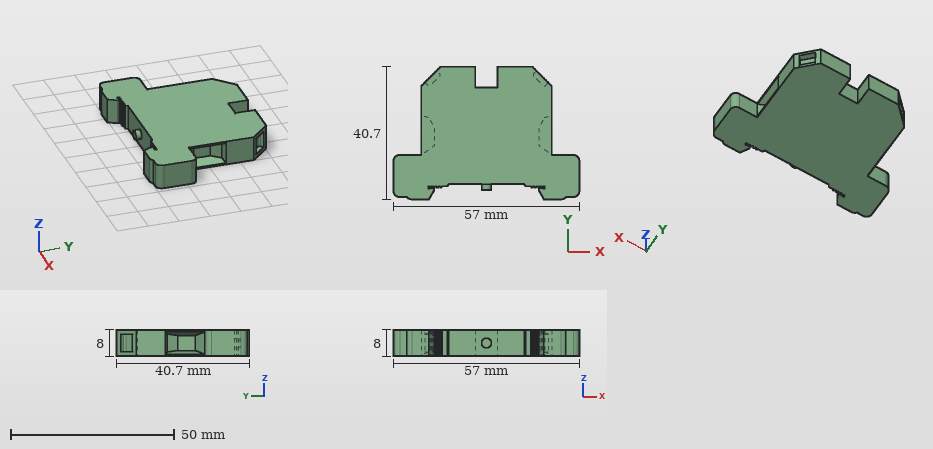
import math

import cadquery as cq

THICKNESS = 8.0
TOP_Y = 40.7
BODY_WIDTH = 40.0
BODY_CHAMFER = 6.0
NOTCH_WIDTH = 6.7
NOTCH_DEPTH = 6.4

EAR_WIDTH = 57.0
EAR_BOTTOM_Y = 0.7
EAR_TOP_Y = 13.7
EAR_RADIUS = 2.0

RECESS_HALF_WIDTH = 17.8
RECESS_SIDE_Y = 4.0
RECESS_CENTER_Y = 4.7
CENTER_HALF_WIDTH = 11.5
CENTER_STEP_RUN = 0.5

FOOT_OUTER_X = 24.8
FOOT_RADIUS = 2.0
HOOK_BASE_X = 17.6
HOOK_FLANK_ANGLE = 60.0
HOOK_LIP_Y = 3.35
HOOK_LIP_SLOPE = 0.2
HOOK_RADIUS = 0.6

TOOTH_COUNT = 4
TOOTH_PITCH = 1.04
TOOTH_TIP_WIDTH = 0.35
TOOTH_FLANK_RUN = 0.17
TOOTH_HEIGHT = 0.35
FIRST_TOOTH_X = 13.94

PIN_DIAMETER = 3.0
PIN_END_Y = 2.9

ENTRY_DEPTH = 4.0
ENTRY_KINK_DEPTH = 2.35
ENTRY_MOUTH_Y = (EAR_TOP_Y, 25.7)
ENTRY_FLOOR_Y = (16.6, 22.0)
ENTRY_KINK_TOP_Y = 25.15
ENTRY_MOUTH_HEIGHT = 6.8
ENTRY_FLOOR_HEIGHT = 4.6

POCKET_Y = (35.85, 39.45)
POCKET_HEIGHT = 5.4
POCKET_DEPTH = 1.75
POCKET_RADIUS = 0.6

MIRROR_PLANE = "YZ"
BODY_HALF = BODY_WIDTH / 2
CLEARANCE = 1.0


def plate(points):
    """Full-thickness prism over a closed XY outline, centred on Z = 0."""
    return cq.Workplane("XY").polyline(points).close().extrude(THICKNESS / 2, both=True)


def block(x_range, y_range):
    """Full-thickness rectangular prism."""
    (x0, x1), (y0, y1) = x_range, y_range
    return plate([(x0, y0), (x1, y0), (x1, y1), (x0, y1)])


def both_sides(left_half):
    """The left-hand shape together with its mirror image."""
    return left_half.union(left_half.mirror(MIRROR_PLANE))


def make_body():
    body = block((-BODY_HALF, BODY_HALF), (EAR_BOTTOM_Y, TOP_Y))
    body = body.edges("|Z and >Y").chamfer(BODY_CHAMFER)
    ears = block((-EAR_WIDTH / 2, EAR_WIDTH / 2), (EAR_BOTTOM_Y, EAR_TOP_Y))
    ears = ears.edges("|Z").fillet(EAR_RADIUS)
    notch = block((-NOTCH_WIDTH / 2, NOTCH_WIDTH / 2), (TOP_Y - NOTCH_DEPTH, TOP_Y + CLEARANCE))
    return body.union(ears).cut(notch)


def make_recess():
    step_x = CENTER_HALF_WIDTH + CENTER_STEP_RUN
    left_side = [
        (-RECESS_HALF_WIDTH, -CLEARANCE),
        (-RECESS_HALF_WIDTH, RECESS_SIDE_Y),
        (-step_x, RECESS_SIDE_Y),
        (-CENTER_HALF_WIDTH, RECESS_CENTER_Y),
    ]
    right_side = [(-x, y) for x, y in reversed(left_side)]
    return plate(left_side + right_side)


def make_left_foot():
    flank_run = 1 / math.tan(math.radians(HOOK_FLANK_ANGLE))
    lip_over_base_y = HOOK_LIP_Y + HOOK_LIP_SLOPE * (RECESS_HALF_WIDTH - HOOK_BASE_X)
    corner_y = lip_over_base_y / (1 - HOOK_LIP_SLOPE * flank_run)
    corner_x = -HOOK_BASE_X + corner_y * flank_run
    foot = plate([
        (-FOOT_OUTER_X, 0),
        (-HOOK_BASE_X, 0),
        (corner_x, corner_y),
        (-RECESS_HALF_WIDTH, HOOK_LIP_Y),
        (-FOOT_OUTER_X, HOOK_LIP_Y),
    ])
    foot = foot.edges("|Z and >X").fillet(HOOK_RADIUS)
    return foot.edges("|Z and <X and <Y").fillet(FOOT_RADIUS)


def make_left_tooth(center_x):
    tip_half = TOOTH_TIP_WIDTH / 2
    root_half = tip_half + TOOTH_FLANK_RUN
    tip_y = RECESS_SIDE_Y - TOOTH_HEIGHT
    return plate([
        (center_x - root_half, RECESS_SIDE_Y),
        (center_x - tip_half, tip_y),
        (center_x + tip_half, tip_y),
        (center_x + root_half, RECESS_SIDE_Y),
    ])


def make_pin():
    pin_plane = cq.Workplane("XZ", origin=(0, PIN_END_Y, 0))
    pin_length = RECESS_CENTER_Y - PIN_END_Y + CLEARANCE
    return pin_plane.circle(PIN_DIAMETER / 2).extrude(-pin_length)


def make_left_wire_entry():
    mouth_x = -BODY_HALF
    floor_x = mouth_x + ENTRY_DEPTH
    profile = [
        (mouth_x, ENTRY_MOUTH_Y[0]),
        (floor_x, ENTRY_FLOOR_Y[0]),
        (floor_x, ENTRY_FLOOR_Y[1]),
        (mouth_x + ENTRY_KINK_DEPTH, ENTRY_KINK_TOP_Y),
        (mouth_x, ENTRY_MOUTH_Y[1]),
    ]
    wedge = (
        cq.Workplane("XZ", origin=(0, ENTRY_MOUTH_Y[0], 0))
        .polyline([
            (mouth_x, -ENTRY_MOUTH_HEIGHT / 2),
            (floor_x, -ENTRY_FLOOR_HEIGHT / 2),
            (floor_x, ENTRY_FLOOR_HEIGHT / 2),
            (mouth_x, ENTRY_MOUTH_HEIGHT / 2),
        ])
        .close()
        .extrude(ENTRY_MOUTH_Y[0] - ENTRY_MOUTH_Y[1])
    )
    return plate(profile).intersect(wedge)


def make_left_screw_pocket():
    low_y, high_y = POCKET_Y
    center_y = (low_y + high_y) / 2
    center_x = -BODY_HALF + center_y - (TOP_Y - BODY_CHAMFER)
    length = (high_y - low_y) * math.sqrt(2)
    chamfer_plane = cq.Plane(origin=(center_x, center_y, 0), xDir=(1, 1, 0), normal=(-1, 1, 0))
    pocket = cq.Workplane("XY").box(
        length, POCKET_HEIGHT, POCKET_DEPTH + CLEARANCE, centered=(True, True, False)
    )
    pocket = pocket.edges("|Y and >X and <Z").fillet(POCKET_RADIUS)
    pocket = pocket.translate((0, 0, -POCKET_DEPTH))
    return cq.Workplane("XY").newObject([pocket.val().moved(cq.Location(chamfer_plane))])


result = make_body().cut(make_recess())
result = result.union(both_sides(make_left_foot()))
for index in range(TOOTH_COUNT):
    tooth_x = -FIRST_TOOTH_X - index * TOOTH_PITCH
    result = result.union(both_sides(make_left_tooth(tooth_x)))
result = result.union(make_pin())
for side_pocket in (make_left_wire_entry(), make_left_screw_pocket()):
    result = result.cut(side_pocket).cut(side_pocket.mirror(MIRROR_PLANE))